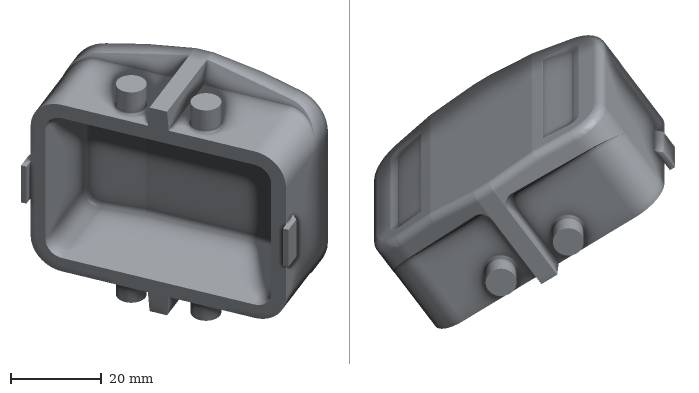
import cadquery as cq
import math


half_width = 30.6
half_height = 22.15
corner_radius = 7.5
depth = 26.8

back_flat_half = 13.5
back_drop = 2.0
back_slope = back_drop / (half_width - back_flat_half)
back_edge_radius = 2.0

recess_near_x = 16.2
recess_floor_length = 7.0
recess_floor_half = 18.4
recess_floor_corner_radius = 1.5
recess_near_depth = 0.2
recess_floor_tilt = math.radians(2)
recess_wall_angle = 75.0
recess_cutter_height = 0.6

peak_half_height = 27.1
rib_tip_half = 2.1
rib_root_half = 2.5
flare_angle = math.atan2(peak_half_height - half_height, half_width - rib_tip_half)
flare_corner_radius = corner_radius / math.tan((math.pi / 2 - flare_angle) / 2)

ledge_y = 19.5
ledge_slope = math.tan(math.radians(30))
ledge_blend_radius = 3.0

wall = 3.55
back_wall = 3.25
cavity_bend_half = 13.0
cavity_floor_radius = 1.1

pin_diameter = 6.8
pin_x = 8.95
pin_y = 5.75
pin_tip = 28.0
pin_root_radius = 0.5

tab_outer_x = 64.09 / 2
tab_thickness = 1.3
tab_half_height = 4.93
tab_overhang = 2.0
tab_straight_end = 2.45

margin = 5.0
near = 1.0


def along_y(y):
    """Workplane at the given Y, drawn in X and Z, extruding toward +Y."""
    return cq.Workplane(cq.Plane(origin=(0, y, 0), xDir=(-1, 0, 0), normal=(0, 1, 0)))


def rounded_box(half_x, half_z, radius, length):
    box = along_y(0).rect(2 * half_x, 2 * half_z).extrude(length)
    return box.edges("|Y").fillet(radius)


def roofed_block(peak_y, flat_half):
    """Block whose +Y side is flat in the middle and slopes like the back wall beyond it."""
    reach = half_width + margin
    reach_y = peak_y - back_slope * (reach - flat_half)
    points = [
        (-reach, -margin),
        (reach, -margin),
        (reach, reach_y),
        (flat_half, peak_y),
        (-flat_half, peak_y),
        (-reach, reach_y),
    ]
    return cq.Workplane("XY").polyline(points).close().extrude(peak_half_height + margin, both=True)


def is_bend(edge):
    """True for the straight creases across the back wall."""
    return abs(edge.Center().x) < back_flat_half + near and abs(edge.Center().z) < near


def is_back_edge(edge, back_y):
    """True for the edges around a back wall that has its flat middle at back_y."""
    return edge.Center().y > back_y - back_drop - near and not is_bend(edge)


def make_flared_hull():
    points = [
        (half_width, half_height),
        (rib_tip_half, peak_half_height),
        (-rib_tip_half, peak_half_height),
        (-half_width, half_height),
        (-half_width, -half_height),
        (-rib_tip_half, -peak_half_height),
        (rib_tip_half, -peak_half_height),
        (half_width, -half_height),
    ]
    hull = along_y(0).polyline(points).close().extrude(depth)
    side_corners = hull.edges("|Y").filter(lambda e: abs(e.Center().x) > half_width - near)
    hull = side_corners.fillet(flare_corner_radius).intersect(roofed_block(depth, back_flat_half))
    back_edges = hull.edges().filter(lambda e: is_back_edge(e, depth))
    return back_edges.fillet(back_edge_radius)


def make_ledge_space(body):
    """Space around the body in front of the two sloping ledges."""
    reach = peak_half_height + margin
    reach_y = ledge_y + ledge_slope * (reach - half_height)
    middle_y = ledge_y - ledge_slope * half_height
    points = [(-margin, -reach), (reach_y, -reach), (middle_y, 0), (reach_y, reach), (-margin, reach)]
    wedge = cq.Workplane("YZ").polyline(points).close().extrude(half_width + margin, both=True)
    return wedge.cut(body)


def make_ribs():
    points = [
        (rib_root_half, half_height),
        (rib_tip_half, peak_half_height),
        (-rib_tip_half, peak_half_height),
        (-rib_root_half, half_height),
        (-rib_root_half, -half_height),
        (-rib_tip_half, -peak_half_height),
        (rib_tip_half, -peak_half_height),
        (rib_root_half, -half_height),
    ]
    return along_y(0).polyline(points).close().extrude(depth - back_edge_radius)


def blend_bottom_ledge(shape):
    """Round the inner corners between the bottom rib and its ledges."""
    peak_y = ledge_y + ledge_slope * (peak_half_height - half_height)
    middle_y = (ledge_y + peak_y) / 2
    middle_z = -(half_height + peak_half_height) / 2
    corners = shape.edges(cq.selectors.BoxSelector(
        (-rib_root_half - near, middle_y - near, middle_z - near),
        (rib_root_half + near, middle_y + near, middle_z + near),
    ))
    return corners.fillet(ledge_blend_radius)


def make_pin(x, side):
    """Round pin on the top (side = 1) or bottom (side = -1), flared at its root."""
    radius = pin_diameter / 2
    root = half_height
    foot_radius = radius + pin_root_radius
    buried_z = root - wall / 2
    profile = (
        cq.Workplane("XY")
        .moveTo(0, buried_z)
        .lineTo(foot_radius, buried_z)
        .lineTo(foot_radius, root)
        .radiusArc((radius, root + pin_root_radius), pin_root_radius)
        .lineTo(radius, pin_tip)
        .lineTo(0, pin_tip)
        .close()
    )
    pin = profile.revolve(360, (0, 0, 0), (0, 1, 0))
    return pin.rotate((0, 0, 0), (1, 0, 0), side * 90).translate((x, pin_y, 0))


def make_tab(side):
    """Tab on the right (side = 1) or left (side = -1), reaching past the rim."""
    inner_x = tab_outer_x - tab_thickness
    buried_x = half_width - wall / 2
    chamfer_end = tab_straight_end + tab_outer_x - buried_x
    points = [
        (side * inner_x, -tab_overhang),
        (side * tab_outer_x, -tab_overhang),
        (side * tab_outer_x, tab_straight_end),
        (side * buried_x, chamfer_end),
        (side * buried_x, 0),
        (side * inner_x, 0),
    ]
    return cq.Workplane("XY").polyline(points).close().extrude(tab_half_height, both=True)


def make_cavity():
    cavity = rounded_box(half_width - wall, half_height - wall, corner_radius - wall, depth)
    floor_y = depth - back_wall
    cavity = cavity.intersect(roofed_block(floor_y, cavity_bend_half))
    floor_edges = cavity.edges().filter(lambda e: is_back_edge(e, floor_y))
    return floor_edges.fillet(cavity_floor_radius)


def make_right_recess():
    """Cutter for the recess on the +X side; its top and bottom follow the flare."""
    tilt = math.atan(back_slope) + recess_floor_tilt
    surface_y = depth - back_slope * (recess_near_x - back_flat_half)
    floor = cq.Workplane(cq.Plane(
        origin=(recess_near_x, surface_y - recess_near_depth, 0),
        xDir=(math.cos(tilt), -math.sin(tilt), 0),
        normal=(math.sin(tilt), math.cos(tilt), 0),
    ))
    far_half = recess_floor_half - recess_floor_length * math.tan(flare_angle)
    points = [
        (0, -recess_floor_half),
        (recess_floor_length, -far_half),
        (recess_floor_length, far_half),
        (0, recess_floor_half),
    ]
    sketch = cq.Sketch().polygon(points + points[:1])
    sketch = sketch.vertices(">X").fillet(recess_floor_corner_radius)
    cutter = floor.placeSketch(sketch).extrude(recess_cutter_height, taper=-recess_wall_angle)
    outer_side = cq.Workplane("XY").box(
        half_width, 2 * depth, 2 * peak_half_height, centered=(False, True, True)
    )
    return cutter.intersect(outer_side.translate((recess_near_x, depth, 0)))


body = rounded_box(half_width, half_height, corner_radius, depth)
hood = make_flared_hull().cut(make_ledge_space(body)).union(make_ribs())
hood = blend_bottom_ledge(hood)
for side in (1, -1):
    hood = hood.union(make_tab(side))
    for x in (-pin_x, pin_x):
        hood = hood.union(make_pin(x, side))

recess = make_right_recess()
hood = hood.cut(recess).cut(recess.mirror("YZ"))

result = hood.cut(make_cavity())